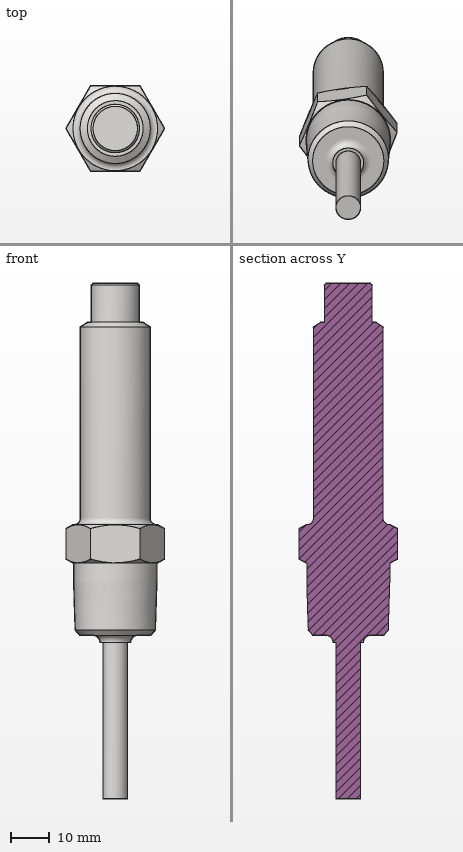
import cadquery as cq
import math

total_length = 132.4
thread_bottom = 42.0
taper_bottom = 43.3
taper_top = 55.7
nut_bottom = 60.5
nut_top = 70.5
shoulder_height = 122.3

probe_radius = 3.2
hub_radius = 4.0
thread_end_radius = 9.1
taper_bottom_radius = 10.3
thread_radius = 10.7
body_radius = 9.0
shoulder_radius = 7.1
connector_radius = 6.2

hub_fillet = 1.9
body_fillet = 1.6

shoulder_drop = 1.2
connector_chamfer = 0.5

across_flats = 22.0
across_corners = across_flats / math.cos(math.radians(30))
nut_face_radius = 10.9
corner_angle = 30


def make_stem():
    """Turned sections from the probe tip up to the connector."""
    hub_bottom = thread_bottom - hub_fillet
    body_bottom = nut_top + body_fillet
    fillet_reach = 1 - math.sqrt(0.5)
    profile = (
        cq.Workplane("XZ")
        .lineTo(probe_radius, 0)
        .lineTo(probe_radius, hub_bottom)
        .lineTo(hub_radius, hub_bottom)
        .threePointArc(
            (hub_radius + hub_fillet * fillet_reach, thread_bottom - hub_fillet * fillet_reach),
            (hub_radius + hub_fillet, thread_bottom),
        )
        .lineTo(thread_end_radius, thread_bottom)
        .lineTo(taper_bottom_radius, taper_bottom)
        .lineTo(thread_radius, taper_top)
        .lineTo(thread_radius, nut_bottom)
        .lineTo(body_radius + body_fillet, nut_bottom)
        .lineTo(body_radius + body_fillet, nut_top)
        .threePointArc(
            (body_radius + body_fillet * fillet_reach, nut_top + body_fillet * fillet_reach),
            (body_radius, body_bottom),
        )
        .lineTo(body_radius, shoulder_height - shoulder_drop)
        .lineTo(shoulder_radius, shoulder_height)
        .lineTo(connector_radius, shoulder_height)
        .lineTo(connector_radius, total_length - connector_chamfer)
        .lineTo(connector_radius - connector_chamfer, total_length)
        .lineTo(0, total_length)
        .close()
    )
    return profile.revolve(360, (0, 0), (0, 1))


def make_nut():
    """Hexagon with conically chamfered corners at both ends."""
    corner_radius = across_corners / 2
    corner_drop = (corner_radius - nut_face_radius) * math.tan(math.radians(corner_angle))
    hexagon = (
        cq.Workplane("XY")
        .workplane(offset=nut_bottom)
        .polygon(6, across_corners)
        .extrude(nut_top - nut_bottom)
    )
    envelope = (
        cq.Workplane("XZ")
        .polyline([
            (0, nut_bottom),
            (nut_face_radius, nut_bottom),
            (corner_radius, nut_bottom + corner_drop),
            (corner_radius, nut_top - corner_drop),
            (nut_face_radius, nut_top),
            (0, nut_top),
        ])
        .close()
        .revolve(360, (0, 0), (0, 1))
    )
    return hexagon.intersect(envelope)


result = make_stem().union(make_nut())